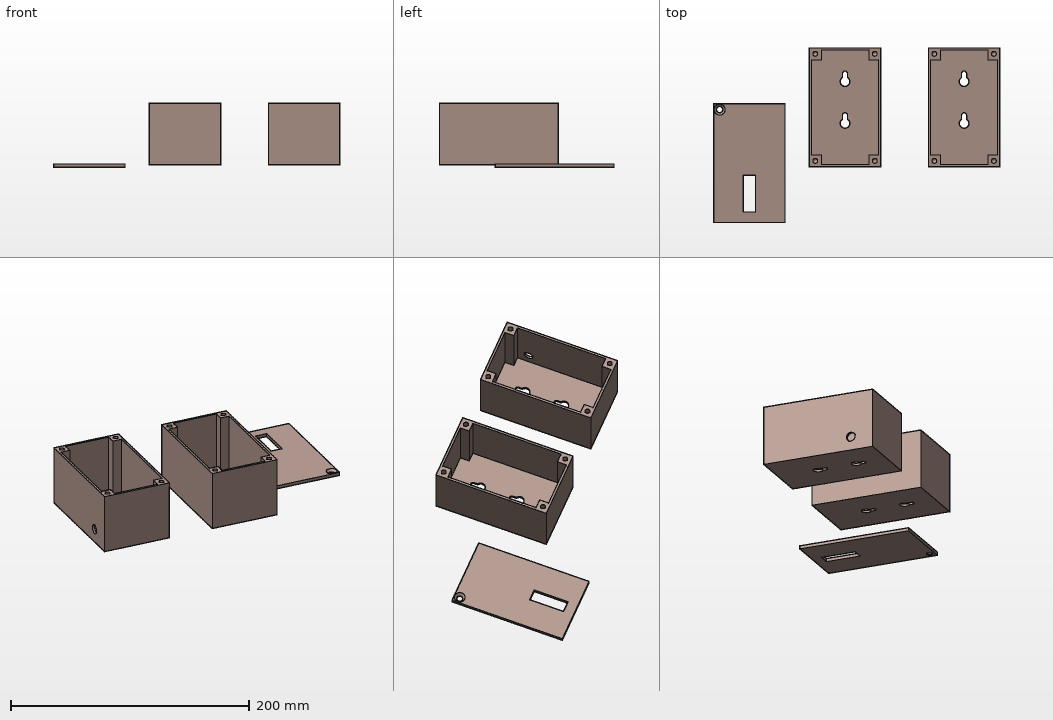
import cadquery as cq
import math

box_width = 60.0
box_length = 100.0
box_height = 52.0
wall = 2.0
box_pitch = 100.0
box_corner_x = 80.3
box_corner_y = 46.9
box_base_z = 2.07

post_size = 10.0
screw_inset = post_size / 2
pilot_diameter = 4.0
pilot_depth = 20.0
pilot_tip_angle = 118

keyhole_head_diameter = 8.0
keyhole_neck_diameter = 4.0
keyhole_rise = 6.7
keyhole_pitch = 35.0
upper_keyhole_inset = 28.4

cable_hole_diameter = 8.0
cable_hole_inset = 20.0
cable_hole_height = 12.0

lid_width = box_width
lid_length = box_length
lid_thickness = 3.0
lid_hole_diameter = 5.0
countersink_diameter = 9.1
countersink_angle = 90
window_width = 10.0
window_length = 30.5
window_corner_x = (lid_width - window_width) / 2
window_corner_y = 9.1


def corner_block(width, length, height):
    """Rectangular block with its lowest corner at the origin."""
    return cq.Workplane("XY").box(width, length, height, centered=False)


def corner_points(inset):
    """Four points at the given distance from the outer sides of a box."""
    return [
        (x, y)
        for x in (inset, box_width - inset)
        for y in (inset, box_length - inset)
    ]


def cavity():
    """Inside of a box: a rectangular pocket minus the four corner posts."""
    pocket = corner_block(box_width - 2 * wall, box_length - 2 * wall, box_height - wall)
    posts = (
        cq.Workplane("XY")
        .pushPoints(corner_points(screw_inset))
        .rect(post_size, post_size)
        .extrude(box_height)
    )
    return pocket.translate((wall, wall, wall)).cut(posts)


def pilot_holes():
    """Blind holes with drill-point bottoms, one in the top of each post."""
    radius = pilot_diameter / 2
    tip_height = radius / math.tan(math.radians(pilot_tip_angle / 2))
    profile = [(0, 0), (radius, 0), (radius, -pilot_depth), (0, -pilot_depth - tip_height)]
    drill = cq.Workplane("XZ").polyline(profile).close().revolve(360, (0, 0, 0), (0, 1, 0)).val()
    return cq.Workplane("XY", origin=(0, 0, box_height)).pushPoints(
        corner_points(screw_inset)
    ).eachpoint(drill)


def keyhole(head_y):
    """Round head with a narrower round-ended neck on its +Y side."""
    plane = cq.Workplane("XY", origin=(box_width / 2, head_y, 0))
    head = plane.circle(keyhole_head_diameter / 2).extrude(wall)
    neck = plane.center(0, keyhole_rise / 2).rect(keyhole_neck_diameter, keyhole_rise).extrude(wall)
    neck_end = plane.center(0, keyhole_rise).circle(keyhole_neck_diameter / 2).extrude(wall)
    return head.union(neck).union(neck_end)


def cable_hole():
    """Round hole through the +X wall, near the +Y end."""
    center = (box_width - wall, box_length - cable_hole_inset, cable_hole_height)
    return cq.Workplane("YZ", origin=center).circle(cable_hole_diameter / 2).extrude(wall)


def make_box(has_cable_hole):
    box = corner_block(box_width, box_length, box_height).cut(cavity()).cut(pilot_holes())
    upper_y = box_length - upper_keyhole_inset
    for head_y in (upper_y, upper_y - keyhole_pitch):
        box = box.cut(keyhole(head_y))
    if has_cable_hole:
        box = box.cut(cable_hole())
    return box


def make_lid():
    """Flat plate with a countersunk hole in its -X, +Y corner and a window."""
    window = corner_block(window_width, window_length, lid_thickness)
    return (
        corner_block(lid_width, lid_length, lid_thickness)
        .faces(">Z")
        .workplane(origin=(screw_inset, lid_length - screw_inset, lid_thickness))
        .cskHole(lid_hole_diameter, countersink_diameter, countersink_angle)
        .cut(window.translate((window_corner_x, window_corner_y, 0)))
    )


lid = make_lid()

boxes = []
for index, has_cable_hole in enumerate((False, True)):
    place = (box_corner_x + index * box_pitch, box_corner_y, box_base_z)
    boxes.append(make_box(has_cable_hole).translate(place))

result = cq.Compound.makeCompound([lid.val(), *[box.val() for box in boxes]])